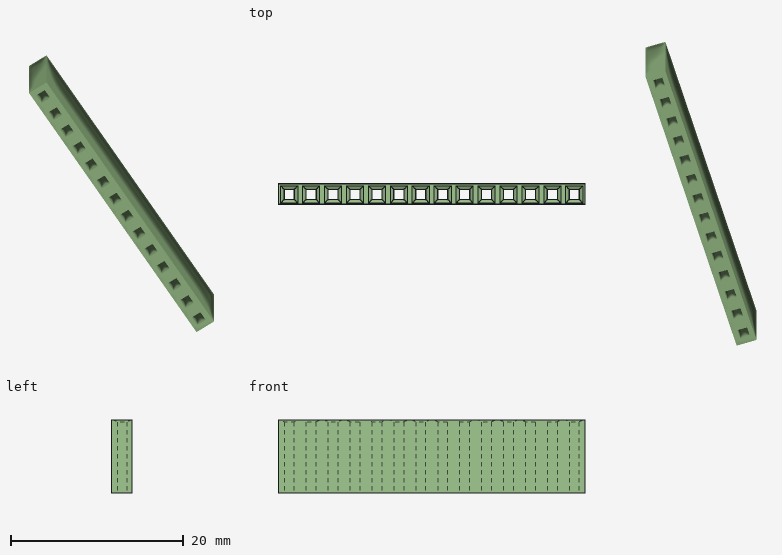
import cadquery as cq

length = 35.55
width = 2.42
height = 8.5

socket_count = 14
pitch = length / socket_count
mouth_side = 2.0
bore_side = 1.15
funnel_depth = 0.25
row_y = -0.055


def make_socket_cutter():
    """Tapered square lead-in continuing as a straight square bore."""
    funnel = (
        cq.Workplane("XY", origin=(0, 0, height))
        .rect(mouth_side, mouth_side)
        .workplane(offset=-funnel_depth)
        .rect(bore_side, bore_side)
        .loft(ruled=True)
    )
    bore = cq.Workplane("XY").rect(bore_side, bore_side).extrude(height)
    return funnel.union(bore)


result = cq.Workplane("XY").box(length, width, height, centered=(True, True, False))

socket_cutter = make_socket_cutter()
for index in range(socket_count):
    socket_x = (index - (socket_count - 1) / 2) * pitch
    result = result.cut(socket_cutter.translate((socket_x, row_y, 0)))